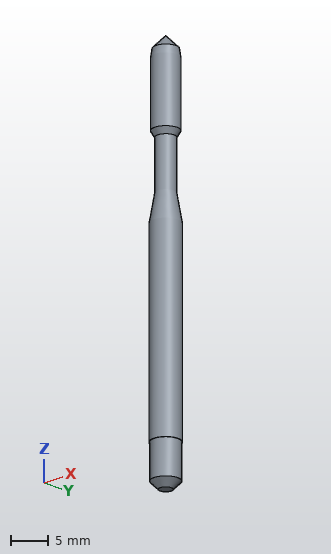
import cadquery as cq

total_length = 64.34

shank_diameter = 4.5
tail_diameter = 4.32
head_diameter = 4.09
neck_diameter = 3.0
point_base_diameter = 3.7

tail_top = 6.7
shank_top = 37.7
neck_bottom = 42.0
neck_top = 49.9
head_top = 61.2

tail_chamfer = 1.15
shoulder_height = 0.95
point_height = point_base_diameter / 2

head_bottom = neck_top + shoulder_height
point_base = total_length - point_height

shank_radius = shank_diameter / 2
tail_radius = tail_diameter / 2
head_radius = head_diameter / 2
neck_radius = neck_diameter / 2
point_base_radius = point_base_diameter / 2


def turned_pin():
    """Half profile as (radius, height) points, revolved about the Z axis."""
    profile = (
        cq.Workplane("XZ")
        .moveTo(0, 0)
        .lineTo(tail_radius - tail_chamfer, 0)
        .lineTo(tail_radius, tail_chamfer)
        .lineTo(tail_radius, tail_top)
        .lineTo(shank_radius, tail_top)
        .lineTo(shank_radius, shank_top)
        .lineTo(neck_radius, neck_bottom)
        .lineTo(neck_radius, neck_top)
        .lineTo(head_radius, head_bottom)
        .lineTo(head_radius, head_top)
        .lineTo(point_base_radius, point_base)
        .lineTo(0, total_length)
        .close()
    )
    return profile.revolve(360, (0, 0, 0), (0, 1, 0))


result = turned_pin()